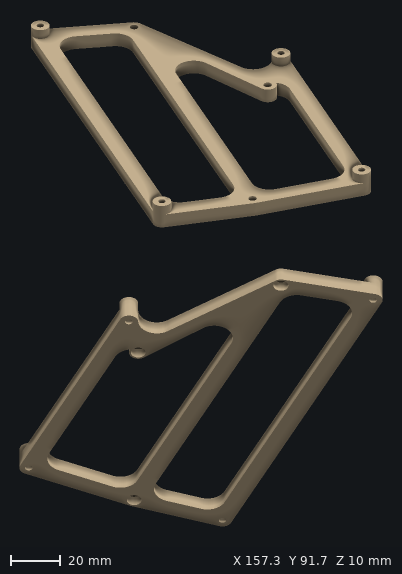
import cadquery as cq
import math

length_x = 157.3
length_y = 91.7
total_height = 10.0
plate_thickness = 6.0
pad_radius = 3.8
fillet_radius = 7.5
boss_hole_diameter = 3.0
plate_hole_diameter = 3.5
counterbore_diameter = 6.0
counterbore_roof = 1.5

right_x = length_x - 2 * pad_radius
top_y = length_y - 2 * pad_radius
middle_y = 37.5
lower_left = (0, 0)
lower_right = (146.0, 0)
upper_right = (right_x, top_y)
upper_left = (52.9, top_y)
middle_left = (7.5, middle_y)
middle_right = (right_x, middle_y)
arm_tip = (68.1, 73.0)
boss_centres = [lower_left, lower_right, upper_right, upper_left]
plate_hole_centres = [middle_left, middle_right, arm_tip]

wedge_fillet_x = 47.5
notch_fillet_x = 74.2


def polar(centre, radius, angle):
    """Point at an angle (radians) on a circle."""
    return (centre[0] + radius * math.cos(angle), centre[1] + radius * math.sin(angle))


def direction(start, end):
    return math.atan2(end[1] - start[1], end[0] - start[0])


def midway(centre, radius, start, end):
    """Middle of the shorter arc between two points on a circle."""
    middle = ((start[0] + end[0]) / 2, (start[1] + end[1]) / 2)
    return polar(centre, radius, direction(centre, middle))


def circle_crossing(first, first_radius, second, second_radius):
    """Crossing of two circles to the left of the line from first to second."""
    distance = math.dist(first, second)
    cosine = (first_radius**2 + distance**2 - second_radius**2) / (2 * first_radius * distance)
    return polar(first, first_radius, direction(first, second) + math.acos(cosine))


def make_plate():
    """Outer outline: bars wrapped around the screw centres, with a concave bay at the upper left."""
    arm_angle = direction(middle_left, arm_tip)
    normal = arm_angle + math.pi / 2
    reach = pad_radius + fillet_radius
    edge_start = polar(middle_left, reach, normal)
    boss_angle = direction(edge_start, upper_left) - arm_angle
    boss_distance = math.dist(edge_start, upper_left)
    along = boss_distance * math.cos(boss_angle)
    across = boss_distance * math.sin(boss_angle)
    bay_centre = polar(edge_start, along - math.sqrt(reach**2 - across**2), arm_angle)
    bay_start = polar(bay_centre, fillet_radius, normal + math.pi)
    bay_end = polar(bay_centre, fillet_radius, direction(bay_centre, upper_left))

    left_normal = direction(lower_left, middle_left) + math.pi / 2
    right_normal = direction(lower_right, middle_right) - math.pi / 2
    corner_left = polar(lower_left, pad_radius, left_normal)
    corner_bottom = (lower_left[0], -pad_radius)
    right_bottom = (lower_right[0], -pad_radius)
    right_low = polar(lower_right, pad_radius, right_normal)
    right_bend = polar(middle_right, pad_radius, right_normal)
    right_straight = polar(middle_right, pad_radius, 0)
    right_high = polar(upper_right, pad_radius, 0)
    right_top = (right_x, top_y + pad_radius)
    left_top = (upper_left[0], top_y + pad_radius)
    arm_start = polar(middle_left, pad_radius, normal)
    left_bend = polar(middle_left, pad_radius, left_normal)
    return (
        cq.Workplane("XY")
        .moveTo(*corner_bottom)
        .lineTo(*right_bottom)
        .threePointArc(midway(lower_right, pad_radius, right_bottom, right_low), right_low)
        .lineTo(*right_bend)
        .threePointArc(midway(middle_right, pad_radius, right_bend, right_straight), right_straight)
        .lineTo(*right_high)
        .threePointArc(midway(upper_right, pad_radius, right_high, right_top), right_top)
        .lineTo(*left_top)
        .threePointArc(polar(upper_left, pad_radius, math.pi), bay_end)
        .threePointArc(midway(bay_centre, fillet_radius, bay_end, bay_start), bay_start)
        .lineTo(*arm_start)
        .threePointArc(midway(middle_left, pad_radius, arm_start, left_bend), left_bend)
        .lineTo(*corner_left)
        .threePointArc(midway(lower_left, pad_radius, corner_left, corner_bottom), corner_bottom)
        .close()
        .extrude(plate_thickness)
    )


def make_lower_window():
    """Opening left between the four bars around the lower bay."""
    return (
        cq.Workplane("XY")
        .polyline([lower_left, lower_right, middle_right, middle_left])
        .close()
        .offset2D(-pad_radius)
        .extrude(plate_thickness)
        .edges("|Z")
        .fillet(fillet_radius)
    )


def make_upper_window():
    """Opening with a rounded wedge under the arm and a notch above the arm tip."""
    bottom = middle_y + pad_radius
    top = top_y - pad_radius
    right = right_x - pad_radius
    wedge_centre = (wedge_fillet_x, bottom + fillet_radius)
    notch_centre = (notch_fillet_x, top - fillet_radius)

    spacing = math.dist(wedge_centre, arm_tip)
    edge_angle = direction(wedge_centre, arm_tip) - math.asin((pad_radius + fillet_radius) / spacing)
    wedge_top = polar(wedge_centre, fillet_radius, edge_angle + math.pi / 2)
    tip_bottom = polar(arm_tip, pad_radius, edge_angle - math.pi / 2)
    cusp = circle_crossing(arm_tip, pad_radius, notch_centre, fillet_radius)
    notch_top = (notch_fillet_x, top)
    opening = (
        cq.Workplane("XY")
        .moveTo(wedge_fillet_x, bottom)
        .threePointArc(polar(wedge_centre, fillet_radius, math.pi), wedge_top)
        .lineTo(*tip_bottom)
        .threePointArc(polar(arm_tip, pad_radius, 0), cusp)
        .threePointArc(midway(notch_centre, fillet_radius, cusp, notch_top), notch_top)
        .lineTo(right, top)
        .lineTo(right, bottom)
        .close()
        .extrude(plate_thickness)
    )
    return opening.edges("|Z and >X").fillet(fillet_radius)


def make_cylinders(centres, diameter, height):
    return cq.Workplane("XY").pushPoints(centres).circle(diameter / 2).extrude(height)


result = (
    make_plate()
    .cut(make_lower_window())
    .cut(make_upper_window())
    .union(make_cylinders(boss_centres, 2 * pad_radius, total_height))
    .cut(make_cylinders(boss_centres, boss_hole_diameter, total_height))
    .cut(make_cylinders(plate_hole_centres, plate_hole_diameter, plate_thickness))
    .cut(make_cylinders(plate_hole_centres, counterbore_diameter, plate_thickness - counterbore_roof))
)